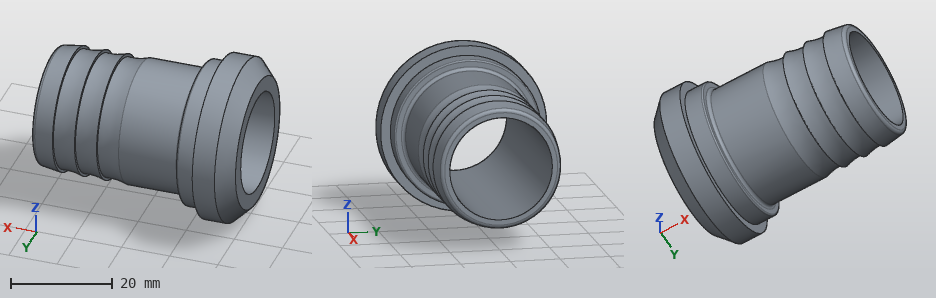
import cadquery as cq

length = 42.85
bore_radius = 20.6 / 2

flange_radius = 33.42 / 2
flange_chamfer = 3.25
flange_end = 7.9

collar_radius = 29.52 / 2
collar_end = 11.9
collar_edge_fillet = 0.3

shank_radius = 25.4 / 2
shank_root_fillet = 0.7

groove_count = 3
barb_pitch = 4.6
barb_depth = 0.6
groove_mid_depth = 0.55
tip_taper = 0.7
tip_edge_fillet = 0.75

match_tolerance = 0.005

groove_start = 24.55
groove_floor_radius = shank_radius - barb_depth
tip_radius = shank_radius - tip_taper


def outer_profile():
    """Half section between the bore and the outside, before its edges are rounded."""
    profile = (
        cq.Workplane("XY")
        .moveTo(0, bore_radius)
        .lineTo(0, flange_radius - flange_chamfer)
        .lineTo(flange_chamfer, flange_radius)
        .lineTo(flange_end, flange_radius)
        .lineTo(flange_end, collar_radius)
        .lineTo(collar_end, collar_radius)
        .lineTo(collar_end, shank_radius)
        .lineTo(groove_start, shank_radius)
    )
    for index in range(groove_count):
        start = groove_start + index * barb_pitch
        profile = profile.threePointArc(
            (start + barb_pitch / 2, shank_radius - groove_mid_depth),
            (start + barb_pitch, groove_floor_radius),
        ).lineTo(start + barb_pitch, shank_radius)
    return profile.lineTo(length, tip_radius).lineTo(length, bore_radius).close()


def round_edge(part, x, radius, fillet_radius):
    """Fillet the full circular edge at position x whose radius matches."""
    edges = [
        edge
        for edge in part.edges("%CIRCLE").vals()
        if abs(edge.Center().x - x) < match_tolerance
        and abs(edge.radius() - radius) < match_tolerance
    ]
    return part.newObject(edges).fillet(fillet_radius)


result = outer_profile().revolve(360, (0, 0, 0), (1, 0, 0))
result = round_edge(result, collar_end, shank_radius, shank_root_fillet)
result = round_edge(result, collar_end, collar_radius, collar_edge_fillet)
result = round_edge(result, length, tip_radius, tip_edge_fillet)